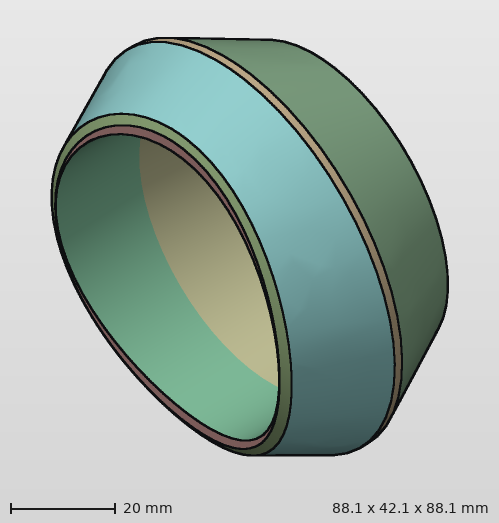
import cadquery as cq
import math

outer_radius = 44.05
total_depth = 42.1
saddle_drop = 3.9

band_start = 21.0
band_width = 1.85
back_outer_radius = 33.2
back_bore_radius = 30.1
bore_radius = 32.6
taper_depth = band_start

lip_half_x = 32.8
lip_half_z = 35.2
bevel_half_x = 35.1
bevel_half_z = 37.0
bevel_depth = 1.1

points_per_ring = 48


def ring(half_x, half_z, depth, drop=0.0):
    """Closed edge around Y, bent so that it reaches deeper by drop at +-X."""
    points = []
    for index in range(points_per_ring):
        angle = 2 * math.pi * index / points_per_ring
        x = half_x * math.sin(angle)
        z = half_z * math.cos(angle)
        y = -depth - drop * math.sin(angle) ** 2
        points.append(cq.Vector(x, y, z))
    return cq.Edge.makeSpline(points, periodic=True)


def round_ring(radius, depth):
    return ring(radius, radius, depth)


lip_depth = total_depth - saddle_drop
edges = [
    round_ring(back_outer_radius, 0),
    round_ring(outer_radius, band_start),
    round_ring(outer_radius, band_start + band_width),
    ring(bevel_half_x, bevel_half_z, lip_depth - bevel_depth, saddle_drop),
    ring(lip_half_x, lip_half_z, lip_depth, saddle_drop),
    ring(bore_radius, bore_radius, lip_depth, saddle_drop),
    round_ring(bore_radius, taper_depth),
    round_ring(back_bore_radius, 0),
]

next_edges = edges[1:] + edges[:1]
faces = [cq.Face.makeRuledSurface(edge, next_edge) for edge, next_edge in zip(edges, next_edges)]
wall = cq.Solid.makeSolid(cq.Shell.makeShell(faces))

result = cq.Workplane("XY").newObject([wall.fix()])